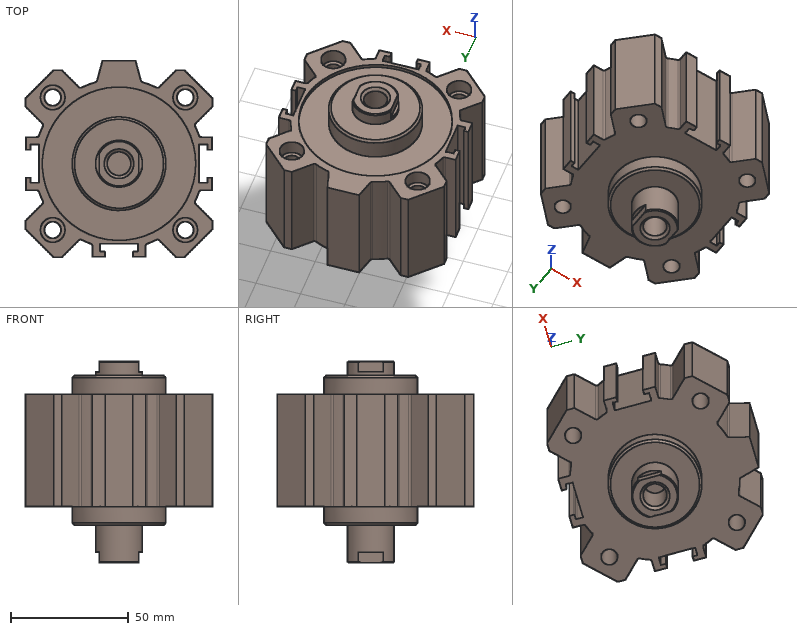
import cadquery as cq
import math


body_height = 48.0
tube_radius = 36.25
corner_fillet = 1.0
position_tolerance = 0.01

lug_width = 22.0
lug_reach = 48.0
lug_square = 80.0
bolt_circle_radius = 40.0
bolt_hole_diameter = 7.0
bolt_counterbore_diameter = 10.5
bolt_counterbore_depth = 6.5
diagonal_angles = [45.0, 135.0, 225.0, 315.0]

rail_half_width = 11.4
slot_half_width = 8.1
slot_mouth_half_width = 5.9
rail_reach = 39.75
slot_floor = 34.25
side_lip_thickness = 2.0
front_lip_thickness = 2.3
front_lip_fillet = 0.5
side_angles = [0.0, 180.0]
front_angle = 270.0

port_reach = 44.0
port_half_width = 7.1
port_side_angle = 15.0

recess_diameter = 65.5
recess_depth = 1.6
boss_diameter = 40.0
boss_height = 8.0
boss_chamfer = 1.0

rod_diameter = 20.0
rod_top = body_height + 14.0
rod_bottom = -24.0
rod_chamfer = 0.5
flat_width = 17.0
flat_length = 4.5
thread_diameter = 10.11
thread_depth = 20.0
thread_chamfer = 1.25


def lug(angle):
    """One corner lug, running from the axis out along a diagonal."""
    return (
        cq.Workplane("XY")
        .center(lug_reach / 2, 0)
        .rect(lug_reach, lug_width)
        .extrude(body_height)
        .rotate((0, 0, 0), (0, 0, 1), angle)
    )


def rail(angle):
    """Solid block for one pair of rails, facing +X before it is turned."""
    return (
        cq.Workplane("XY")
        .center(rail_reach / 2, 0)
        .rect(rail_reach, 2 * rail_half_width)
        .extrude(body_height)
        .rotate((0, 0, 0), (0, 0, 1), angle)
    )


def t_slot(angle, lip_thickness, lip_fillet=0.0):
    """Cutter for one T-slot, facing +X before it is turned."""
    lip_inside = rail_reach - lip_thickness
    chamber_depth = lip_inside - slot_floor
    mouth_depth = rail_reach - slot_floor
    chamber = (
        cq.Workplane("XY")
        .center(slot_floor + chamber_depth / 2, 0)
        .rect(chamber_depth, 2 * slot_half_width)
        .extrude(body_height)
    )
    mouth = (
        cq.Workplane("XY")
        .center(slot_floor + mouth_depth / 2, 0)
        .rect(mouth_depth, 2 * slot_mouth_half_width)
        .extrude(body_height)
    )
    slot = chamber.union(mouth)
    if lip_fillet:
        lower = (lip_inside - lip_fillet, -slot_half_width - lip_fillet, 0)
        upper = (lip_inside + lip_fillet, slot_half_width + lip_fillet, body_height)
        around_lips = cq.selectors.BoxSelector(lower, upper)
        slot = slot.edges("|Z").edges(around_lips).fillet(lip_fillet)
    return slot.rotate((0, 0, 0), (0, 0, 1), angle)


def port_boss():
    """Tapered boss on the +Y side."""
    root_half_width = port_half_width + port_reach * math.tan(math.radians(port_side_angle))
    taper = [
        (-root_half_width, 0),
        (root_half_width, 0),
        (port_half_width, port_reach),
        (-port_half_width, port_reach),
    ]
    return cq.Workplane("XY").polyline(taper).close().extrude(body_height)


def on_tube_surface(edge):
    """True for an upright edge where something meets the round tube."""
    center = edge.Center()
    return abs(math.hypot(center.x, center.y) - tube_radius) < position_tolerance


def make_housing():
    """Extruded profile with its end covers as one solid, bored through for the rod."""
    lugs = lug(diagonal_angles[0])
    for angle in diagonal_angles[1:]:
        lugs = lugs.union(lug(angle))
    lugs = lugs.intersect(cq.Workplane("XY").rect(lug_square, lug_square).extrude(body_height))

    body = cq.Workplane("XY").circle(tube_radius).extrude(body_height).union(lugs)
    for angle in [*side_angles, front_angle]:
        body = body.union(rail(angle))
    body = body.union(port_boss())
    body = body.edges("|Z").filter(on_tube_surface).fillet(corner_fillet)

    for angle in side_angles:
        body = body.cut(t_slot(angle, side_lip_thickness))
    body = body.cut(t_slot(front_angle, front_lip_thickness, front_lip_fillet))

    body = (
        body.faces(">Z").workplane(origin=(0, 0, body_height))
        .polarArray(bolt_circle_radius, diagonal_angles[0], 360, len(diagonal_angles))
        .cboreHole(bolt_hole_diameter, bolt_counterbore_diameter, bolt_counterbore_depth)
    )

    recess = (
        cq.Workplane("XY", origin=(0, 0, body_height - recess_depth))
        .circle(recess_diameter / 2)
        .extrude(recess_depth)
    )
    bosses = (
        cq.Workplane("XY", origin=(0, 0, -boss_height))
        .circle(boss_diameter / 2)
        .extrude(body_height + 2 * boss_height)
        .faces("<Z or >Z")
        .chamfer(boss_chamfer)
    )
    rod_bore = (
        cq.Workplane("XY", origin=(0, 0, rod_bottom))
        .circle(rod_diameter / 2)
        .extrude(rod_top - rod_bottom)
    )
    return body.cut(recess).union(bosses).cut(rod_bore)


def flat_cutters(z_bottom):
    """Two blocks that cut the wrench flats on the -X and +X sides of the rod."""
    cutter_width = rod_diameter / 2
    return (
        cq.Workplane("XY", origin=(0, 0, z_bottom))
        .pushPoints([(side * (flat_width + cutter_width) / 2, 0) for side in (-1, 1)])
        .rect(cutter_width, rod_diameter)
        .extrude(flat_length)
    )


def thread_hole(z_end, direction):
    """Blind hole with a countersunk mouth, going from z_end into the rod along direction."""
    bore_radius = thread_diameter / 2
    profile = [
        (0, z_end),
        (bore_radius + thread_chamfer, z_end),
        (bore_radius, z_end + direction * thread_chamfer),
        (bore_radius, z_end + direction * thread_depth),
        (0, z_end + direction * thread_depth),
    ]
    return cq.Workplane("XZ").polyline(profile).close().revolve(360, (0, 0), (0, 1))


def make_rod():
    """Through rod with wrench flats and a threaded hole at each end."""
    rod = (
        cq.Workplane("XY", origin=(0, 0, rod_bottom))
        .circle(rod_diameter / 2)
        .extrude(rod_top - rod_bottom)
        .faces("<Z or >Z")
        .chamfer(rod_chamfer)
    )
    rod = rod.cut(flat_cutters(rod_top - flat_length)).cut(flat_cutters(rod_bottom))
    return rod.cut(thread_hole(rod_top, -1)).cut(thread_hole(rod_bottom, 1))


housing = make_housing()
rod = make_rod()
result = cq.Compound.makeCompound([housing.val(), rod.val()])